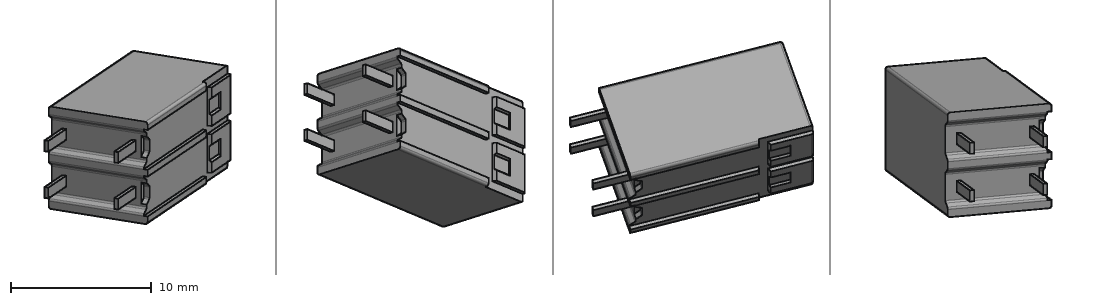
import cadquery as cq

width = 7.8
length = 13.6
height = 7.7
edge_radius = 0.2
overlap = 0.16

cell_pitch = 3.5
cell_centres = (-cell_pitch / 2, cell_pitch / 2)

groove_depth = 0.5
groove_floor_height = 2.13
groove_mouth_height = 2.78
groove_radius = 0.2

pin_thickness = 0.3
pin_height = 0.82
pin_reach = 2.4
pin_spacing = 5.5
left_pin_inset = 1.0
left_pin_x = left_pin_inset - width / 2

wall_layer = 0.3
layer_floor_x = width / 2 - wall_layer
rib_length = 9.6
rib_end_slant = 0.06
channel_height = 3.0
pad_height = 2.9
pad_length = 3.33
pad_end_slant = 0.13

notch_depth = 0.16
notch_floor_height = 1.05
notch_mouth_height = 1.31
notch_length = 1.6

pocket_width = 0.45
pocket_depth = 0.45
pocket_floor_height = 0.93
pocket_mouth_height = 1.6
pocket_radius = 0.13


def make_housing():
    """Block with rounded long edges and closed end; the pin end and the +X back edge stay sharp."""
    block = cq.Workplane("XY").box(width, length, height).translate((0, length / 2, 0))
    rounded = block.edges("|Y").add(block.faces(">Y").edges("not >X"))
    return block.newObject(rounded.vals()).fillet(edge_radius)


def trough(start_x, end_x, open_y, depth, floor_height, mouth_height, z):
    """Trapezoidal prism along X, sunk from open_y toward +Y."""
    profile = [
        (open_y, z - mouth_height / 2),
        (open_y + depth, z - floor_height / 2),
        (open_y + depth, z + floor_height / 2),
        (open_y, z + mouth_height / 2),
    ]
    prism = cq.Workplane("YZ").workplane(offset=start_x).polyline(profile).close()
    return prism.extrude(end_x - start_x)


def cut_layer_behind_ribs(body):
    """Strip the +X layer from the slanted rib ends to the closed end."""
    outline = [
        (layer_floor_x, rib_length),
        (width / 2, rib_length - rib_end_slant),
        (width / 2 + overlap, rib_length - rib_end_slant),
        (width / 2 + overlap, length + overlap),
        (layer_floor_x, length + overlap),
    ]
    layer = cq.Workplane("XY").workplane(offset=-height / 2).polyline(outline).close().extrude(height)
    return body.cut(layer)


def cut_groove(body, z):
    """Groove across the pin end; convex and concave rounds form S-shaped flanks."""
    low = -width / 2 - overlap
    high = width / 2 + overlap
    groove = trough(low, high, 0, groove_depth, groove_floor_height, groove_mouth_height, z)
    groove = groove.edges("|X and >Y").fillet(groove_radius)
    return body.cut(groove)


def round_groove_mouths(body):
    """Round every lengthwise edge of the pin end between its top and bottom edges."""
    mouths = body.faces("<Y").edges("|X").edges("not (>Z or <Z)")
    return body.newObject(mouths.vals()).fillet(groove_radius)


def cut_channel(body, z):
    """Channel between the ribs; half of the cutter lies outside the wall."""
    channel = cq.Workplane("XY").box(2 * wall_layer, 2 * length, channel_height)
    return body.cut(channel.translate((width / 2, length / 2, z)))


def cut_pocket(body, z):
    pocket = trough(
        layer_floor_x - pocket_width,
        layer_floor_x + overlap,
        groove_depth,
        pocket_depth,
        pocket_floor_height,
        pocket_mouth_height,
        z,
    )
    return body.cut(pocket.edges("|X and >Y").fillet(pocket_radius))


def make_pad(z):
    """Raised pad with a slanted end and a blind trapezoidal notch."""
    pad_start = length - pad_length
    outline = [
        (layer_floor_x - overlap, pad_start),
        (layer_floor_x, pad_start),
        (width / 2, pad_start + pad_end_slant),
        (width / 2, length),
        (layer_floor_x - overlap, length),
    ]
    pad = cq.Workplane("XY").workplane(offset=z - pad_height / 2).polyline(outline).close()
    pad = pad.extrude(pad_height).edges("|Z and >X and >Y").fillet(edge_radius)
    notch_profile = [
        (width / 2, z - notch_mouth_height / 2),
        (width / 2 - notch_depth, z - notch_floor_height / 2),
        (width / 2 - notch_depth, z + notch_floor_height / 2),
        (width / 2, z + notch_mouth_height / 2),
    ]
    notch = cq.Workplane("XZ").workplane(offset=-pad_start).polyline(notch_profile).close()
    return pad.cut(notch.extrude(-notch_length))


def make_pin(x, z):
    pin_length = pin_reach + groove_depth + overlap
    pin = cq.Workplane("XY").box(pin_thickness, pin_length, pin_height)
    return pin.translate((x, pin_length / 2 - pin_reach, z))


result = cut_layer_behind_ribs(make_housing())
for cell_z in cell_centres:
    result = cut_groove(result, cell_z)
result = round_groove_mouths(result)
for cell_z in cell_centres:
    result = cut_channel(result, cell_z)
    result = cut_pocket(result, cell_z)
    result = result.union(make_pad(cell_z))
    for pin_x in (left_pin_x, left_pin_x + pin_spacing):
        result = result.union(make_pin(pin_x, cell_z))